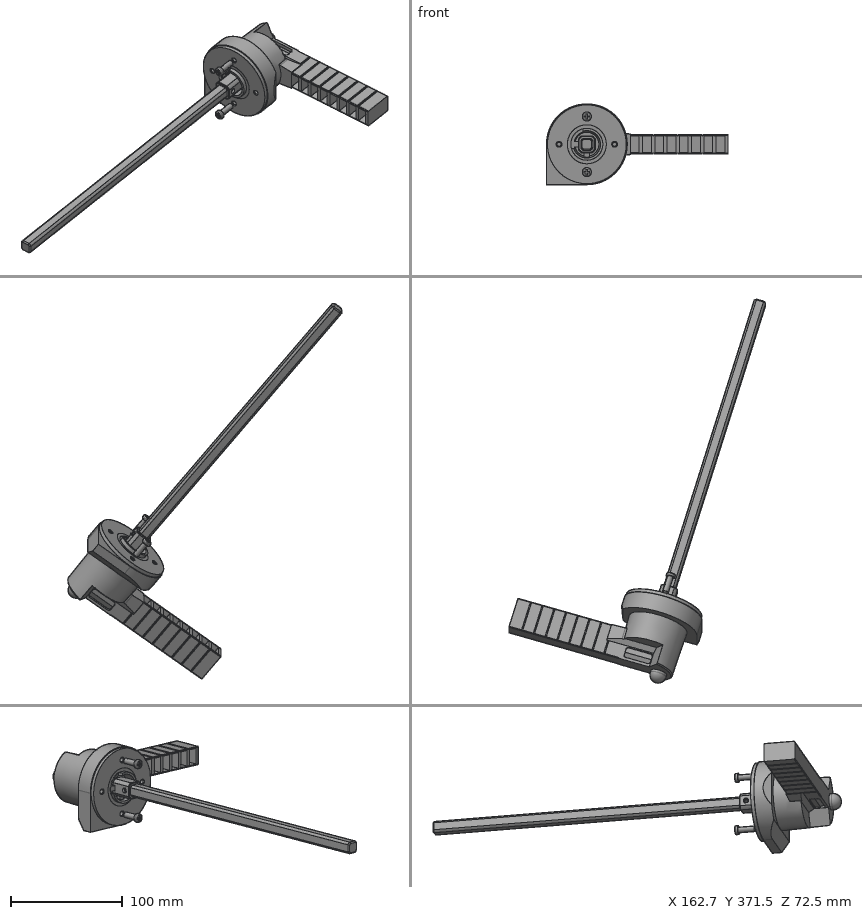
import cadquery as cq
import math


total_length = 371.5
total_width = 162.7
base_width = 72.5
button_top_y = 72.0
shaft_end_y = button_top_y - total_length

base_radius = base_width / 2
base_top_y = 19.0
lip_radius = 35.3
lip_height = 3.5
bore_radius = 17.5
bevel_start_y = 12.0
side_bevel_inset = 3.5
bottom_bevel_inset = 9.5

mount_radius = 25.0
mount_hole_radius = 2.0
mount_mouth_radius = 2.5
mount_hole_depth = 15.0
screw_shank_radius = 2.5
screw_tip_y = -3.0
screw_tip_chamfer = 1.5
screw_head_radius = 4.0
screw_head_top_y = -19.5
screw_head_height = 3.0
screw_head_fillet = 1.0
recess_length = 5.0
recess_width = 1.3
recess_depth = 1.5

drum_top_y = 62.5
drum_bottom_radius = 27.0
drum_top_radius = 26.0
drum_edge_chamfer = 1.0

grip_end_x = total_width - base_radius
grip_bottom_y = 33.8
grip_half_width = 8.5
grip_edge_chamfer = 0.7
root_end_x = 39.0
root_top_y = 49.0
root_half_width = 10.8
root_end_half_width = 9.3
rib_count = 8
ribs_length = 87.5
rib_pitch = ribs_length / rib_count
first_groove_x = 37.5
groove_width = 1.0
groove_depth = 0.7
pocket_length = 7.8
pocket_width = 14.5
pocket_depth = 22.3

shoulder_wall_x = -12.0
shoulder_foot_x = -5.0
shoulder_floor_y = 44.0
shoulder_slope_end_z = 11.0

window_start_x = -4.5
window_end_x = 20.0
window_bottom_y = 50.0
window_top_y = 59.8
window_corner = 2.2
window_depth = 1.0
window_slope_depth = 3.5

button_x = -13.7
button_radius = 7.5

collar_diameter = 28.5
collar_radius = collar_diameter / 2
collar_height = 3.7
collar_gap_x = -3.5
collar_gap_z = -3.7
collar_gap_floor_y = 1.0
hub_radius = 9.0
hub_flat = 15.2
hub_end_y = -16.7
hub_end_chamfer = 0.7
ring_outer_radius = 12.3
ring_floor_radius = 10.8
ring_depth = 9.0
web_width = 5.0

shaft_flat = 10.8
shaft_corner_radius = 6.5
shaft_top_y = 15.0
shaft_end_chamfer = 1.0
hub_pin_hole_radius = 2.2
shaft_pin_hole_radius = 1.5
pin_hole_y = -10.8


def face_at(y):
    """Plane across the shaft axis; its local x and y are X and Z, and it extrudes toward -Y."""
    return cq.Workplane("XZ", origin=(0, y, 0))


def cylinder(radius, y_low, y_high):
    return face_at(y_high).circle(radius).extrude(y_high - y_low)


def rounded_square(flat, corner_radius, y_low, y_high):
    """Square bar along Y whose corners are turned down to a circle."""
    square = face_at(y_high).rect(flat, flat).extrude(y_high - y_low)
    return square.intersect(cylinder(corner_radius, y_low, y_high))


def pin_hole(radius):
    reach = 2 * hub_radius
    return cq.Workplane("YZ", origin=(-reach / 2, pin_hole_y, 0)).circle(radius).extrude(reach)


def base_bevels():
    """Sloping wedges that take the front edge off the base on its +X and -Z sides."""
    span = 2 * base_radius
    side = (
        cq.Workplane("XY", origin=(0, 0, -base_radius))
        .moveTo(base_radius, bevel_start_y)
        .lineTo(base_radius, base_top_y)
        .lineTo(base_radius - side_bevel_inset, base_top_y)
        .close()
        .extrude(span)
    )
    bottom = (
        cq.Workplane("YZ", origin=(-base_radius, 0, 0))
        .moveTo(bevel_start_y, -base_radius)
        .lineTo(base_top_y, -base_radius)
        .lineTo(base_top_y, -base_radius + bottom_bevel_inset)
        .close()
        .extrude(span)
    )
    return side.union(bottom)


def mount_mouth():
    """Cone that widens a mounting hole at the mounting face."""
    depth = mount_mouth_radius - mount_hole_radius
    cone = cq.Solid.makeCone(
        mount_mouth_radius, mount_hole_radius, depth, pnt=cq.Vector(0, 0, 0), dir=cq.Vector(0, 1, 0)
    )
    return cq.Workplane(obj=cone)


def make_base():
    body = cylinder(base_radius, lip_height, base_top_y)
    corner = (
        face_at(base_top_y)
        .center(-base_radius / 2, -base_radius / 2)
        .rect(base_radius, base_radius)
        .extrude(base_top_y - lip_height)
    )
    body = body.union(corner).cut(base_bevels())
    body = body.union(cylinder(lip_radius, 0, lip_height))
    hole = cylinder(mount_hole_radius, 0, mount_hole_depth).union(mount_mouth())
    for angle in range(0, 360, 90):
        body = body.cut(hole.translate((mount_radius, 0, 0)).rotate((0, 0, 0), (0, 1, 0), angle))
    return body.cut(cylinder(bore_radius, 0, base_top_y))


def shoulder_cut():
    """Space above the drum on the +Z side of the grip: a slanted wall and a stepped floor."""
    outside = 2 * drum_bottom_radius
    plan = (
        face_at(outside + drum_top_y)
        .moveTo(shoulder_foot_x, grip_half_width)
        .lineTo(outside, grip_half_width)
        .lineTo(outside, outside)
        .lineTo(shoulder_wall_x, outside)
        .lineTo(shoulder_wall_x, math.sqrt(drum_top_radius**2 - shoulder_wall_x**2))
        .close()
        .extrude(outside + drum_top_y)
    )
    above_floor = (
        cq.Workplane("YZ", origin=(-outside, 0, 0))
        .moveTo(root_top_y, grip_half_width)
        .lineTo(shoulder_floor_y, shoulder_slope_end_z)
        .lineTo(shoulder_floor_y, outside)
        .lineTo(outside + drum_top_y, outside)
        .lineTo(outside + drum_top_y, grip_half_width)
        .close()
        .extrude(2 * outside)
    )
    return plan.intersect(above_floor)


def window_cut():
    """Recess in the +Z side of the grip; its front half slopes deeper toward +Y."""
    length = window_end_x - window_start_x
    height = window_top_y - window_bottom_y
    middle_x = (window_start_x + window_end_x) / 2
    middle_y = (window_bottom_y + window_top_y) / 2
    outline = (
        cq.Workplane("XY", origin=(middle_x, middle_y, grip_half_width - window_slope_depth))
        .rect(length, height)
        .extrude(window_slope_depth)
        .edges("|Z")
        .fillet(window_corner)
    )
    above_floor = (
        cq.Workplane("YZ", origin=(window_start_x, 0, 0))
        .moveTo(window_bottom_y, grip_half_width)
        .lineTo(window_bottom_y, grip_half_width - window_depth)
        .lineTo(middle_y, grip_half_width - window_depth)
        .lineTo(window_top_y, grip_half_width - window_slope_depth)
        .lineTo(window_top_y, grip_half_width)
        .close()
        .extrude(length)
    )
    return outline.intersect(above_floor)


def on_both_sides(cut):
    return cut.union(cut.mirror("XY"))


def make_drum():
    drum = cq.Workplane("XY").polyline(
        [
            (0, base_top_y),
            (drum_bottom_radius, base_top_y),
            (drum_top_radius, drum_top_y - drum_edge_chamfer),
            (drum_top_radius - drum_edge_chamfer, drum_top_y),
            (0, drum_top_y),
        ]
    )
    return drum.close().revolve(360, (0, 0, 0), (0, 1, 0))


def make_grip():
    height = drum_top_y - grip_bottom_y
    bar = (
        face_at(drum_top_y)
        .moveTo(grip_end_x / 2, 0)
        .rect(grip_end_x, 2 * grip_half_width)
        .extrude(height)
        .edges("|X")
        .chamfer(grip_edge_chamfer)
    )
    root = (
        face_at(root_top_y)
        .polyline(
            [
                (0, -root_half_width),
                (drum_top_radius, -root_half_width),
                (root_end_x, -root_end_half_width),
                (root_end_x, root_end_half_width),
                (drum_top_radius, root_half_width),
                (0, root_half_width),
            ]
        )
        .close()
        .extrude(root_top_y - grip_bottom_y)
    )
    for index in range(rib_count):
        groove_x = first_groove_x + index * rib_pitch
        grooves = (
            face_at(drum_top_y)
            .pushPoints([(groove_x, -grip_half_width), (groove_x, grip_half_width)])
            .rect(groove_width, 2 * groove_depth)
            .extrude(height)
        )
        pocket = (
            face_at(grip_bottom_y + pocket_depth)
            .center(groove_x + rib_pitch / 2, 0)
            .rect(pocket_length, pocket_width)
            .extrude(pocket_depth)
        )
        bar = bar.cut(grooves).cut(pocket)
    return bar.union(root)


def make_button():
    stem_top_y = button_top_y - button_radius
    stem = cylinder(button_radius, drum_top_y, stem_top_y)
    dome = cq.Workplane("XY", origin=(0, stem_top_y, 0)).sphere(button_radius)
    above_drum = cylinder(button_radius, drum_top_y, button_top_y)
    return stem.union(dome.intersect(above_drum)).translate((button_x, 0, 0))


def ring_recess():
    """Tapered ring-shaped recess around the hub, bridged by webs on its -X and -Z sides."""
    ring = (
        cq.Workplane("XY")
        .polyline(
            [
                (0, -collar_height),
                (ring_outer_radius, -collar_height),
                (ring_floor_radius, ring_depth - collar_height),
                (0, ring_depth - collar_height),
            ]
        )
        .close()
        .revolve(360, (0, 0, 0), (0, 1, 0))
    )
    webs = (
        face_at(ring_depth - collar_height)
        .moveTo(-ring_outer_radius / 2, 0)
        .rect(ring_outer_radius, web_width)
        .moveTo(0, -ring_outer_radius / 2)
        .rect(web_width, ring_outer_radius)
        .extrude(ring_depth - collar_height)
    )
    return ring.cut(webs)


def make_coupling():
    """Boss filling the base bore, with a notched collar and a flat-sided hub behind it."""
    boss = cylinder(bore_radius, 0, base_top_y)
    collar = cylinder(collar_radius, -collar_height, 0)
    gap_width = collar_radius + collar_gap_x
    gap_height = collar_radius - collar_gap_z
    gap = (
        face_at(collar_gap_floor_y)
        .center(collar_gap_x - gap_width / 2, collar_gap_z + gap_height / 2)
        .rect(gap_width, gap_height)
        .extrude(collar_height + collar_gap_floor_y)
        .intersect(cylinder(collar_radius, -collar_height, collar_gap_floor_y))
    )
    hub = rounded_square(hub_flat, hub_radius, hub_end_y, base_top_y)
    hub = hub.faces("<Y").chamfer(hub_end_chamfer)
    return boss.union(collar).cut(gap).cut(ring_recess()).union(hub)


def make_handle():
    body = make_drum().union(make_grip())
    body = body.cut(on_both_sides(shoulder_cut())).cut(on_both_sides(window_cut()))
    body = body.union(make_button()).union(make_coupling())
    socket = rounded_square(shaft_flat, shaft_corner_radius, hub_end_y, shaft_top_y)
    return body.cut(socket).cut(pin_hole(hub_pin_hole_radius))


def make_shaft():
    bar = rounded_square(shaft_flat, shaft_corner_radius, shaft_end_y, shaft_top_y)
    return bar.faces("<Y").chamfer(shaft_end_chamfer).cut(pin_hole(shaft_pin_hole_radius))


def make_screw(z):
    """Screw standing off the base, its cross-recessed head facing -Y."""
    head_end_y = screw_head_top_y - screw_head_height
    shank = cylinder(screw_shank_radius, screw_head_top_y, screw_tip_y)
    shank = shank.faces(">Y").chamfer(screw_tip_chamfer)
    head = cylinder(screw_head_radius, head_end_y, screw_head_top_y)
    head = head.faces("<Y").edges().fillet(screw_head_fillet)
    slot = face_at(head_end_y + recess_depth).rect(recess_length, recess_width).extrude(recess_depth)
    cross = slot.union(slot.rotate((0, 0, 0), (0, 1, 0), 90))
    return shank.union(head).cut(cross).translate((0, 0, z))


base = make_base()
handle = make_handle()
shaft = make_shaft()
screws = [make_screw(z) for z in (-mount_radius, mount_radius)]

bodies = [base, handle, shaft, *screws]

result = cq.Compound.makeCompound([body.solids().val() for body in bodies])